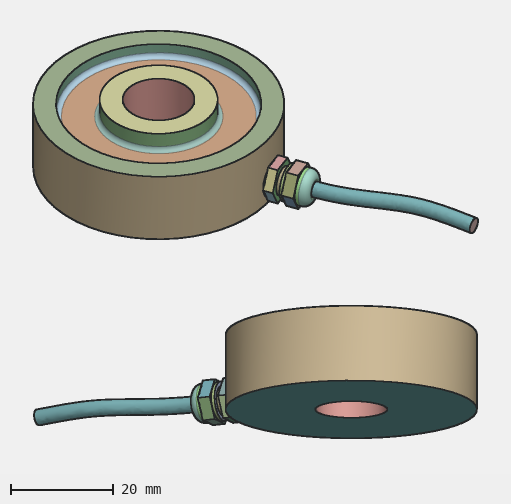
import cadquery as cq
import math

housing_diameter = 49.0
housing_height = 15.0
hub_diameter = 23.0
hub_height = 16.0
bore_diameter = 14.0
recess_diameter = 40.0
recess_depth = 3.0
recess_fillet = 1.0
housing_radius = housing_diameter / 2

gland_axis_height = 4.5
hex_across_flats = 8.0
hex_across_corners = hex_across_flats / math.cos(math.radians(30))
neck_diameter = 6.0
collar_diameter = 7.8
stub_diameter = collar_diameter
base_hex_end_x = 26.6
neck_end_x = 27.7
nut_hex_start_x = 28.4
nut_hex_end_x = 31.0
gland_end_x = 33.5
cap_round_radius = 1.8

cable_diameter = 3.2
cable_rise_per_sway = 0.4
cable_peak_x = 55.0
cable_peak_sway = 2.1
cable_end_sway = 1.25
cable_end_slope = -0.11
overall_length = 91.72
overall_end_x = overall_length - housing_radius
cable_end_tilt = math.atan(cable_end_slope * math.hypot(1, cable_rise_per_sway))
cable_end_x = overall_end_x - cable_diameter / 2 * abs(math.sin(cable_end_tilt))


def build_housing():
    body = cq.Workplane("XY").circle(housing_radius).extrude(housing_height)
    recess_floor = housing_height - recess_depth
    recess = (
        cq.Workplane("XY", origin=(0, 0, recess_floor))
        .circle(recess_diameter / 2)
        .circle(hub_diameter / 2)
        .extrude(recess_depth)
        .faces("<Z")
        .edges()
        .fillet(recess_fillet)
    )
    hub_top = (
        cq.Workplane("XY", origin=(0, 0, housing_height))
        .circle(hub_diameter / 2)
        .extrude(hub_height - housing_height)
    )
    bore = cq.Workplane("XY").circle(bore_diameter / 2).extrude(hub_height)
    return body.cut(recess).union(hub_top).cut(bore)


def gland_plane(x):
    return cq.Workplane("YZ", origin=(x, 0, gland_axis_height))


def gland_hex(start_x, end_x):
    """Hexagon with flats facing up and down and corners facing sideways."""
    return gland_plane(start_x).polygon(6, hex_across_corners).extrude(end_x - start_x)


def gland_cylinder(diameter, start_x, end_x):
    return gland_plane(start_x).circle(diameter / 2).extrude(end_x - start_x)


def build_gland():
    stub_start_x = math.sqrt(housing_radius**2 - (stub_diameter / 2) ** 2)
    housing_wall = cq.Workplane("XY").circle(housing_radius).extrude(housing_height)
    stub = gland_cylinder(stub_diameter, stub_start_x, base_hex_end_x).cut(housing_wall)
    base = gland_hex(housing_radius, base_hex_end_x)
    neck = gland_cylinder(neck_diameter, base_hex_end_x, neck_end_x)
    cap = gland_cylinder(collar_diameter, neck_end_x, gland_end_x)
    cap = cap.faces(">X").edges().fillet(cap_round_radius)
    nut = gland_hex(nut_hex_start_x, nut_hex_end_x)
    return stub.union(base).union(neck).union(cap).union(nut)


def cable_point(x, sway):
    return cq.Vector(x, sway, gland_axis_height + cable_rise_per_sway * sway)


def build_cable():
    centre_points = [
        cable_point(gland_end_x, 0),
        cable_point(cable_peak_x, cable_peak_sway),
        cable_point(cable_end_x, cable_end_sway),
    ]
    end_direction = cq.Vector(1, cable_end_slope, cable_rise_per_sway * cable_end_slope)
    path = cq.Workplane("XY").spline(
        centre_points, tangents=[cq.Vector(1, 0, 0), end_direction]
    )
    return gland_plane(gland_end_x).circle(cable_diameter / 2).sweep(path)


housing = build_housing()
gland = build_gland()
cable = build_cable()

result = cq.Compound.makeCompound([housing.val(), gland.val(), cable.val()])